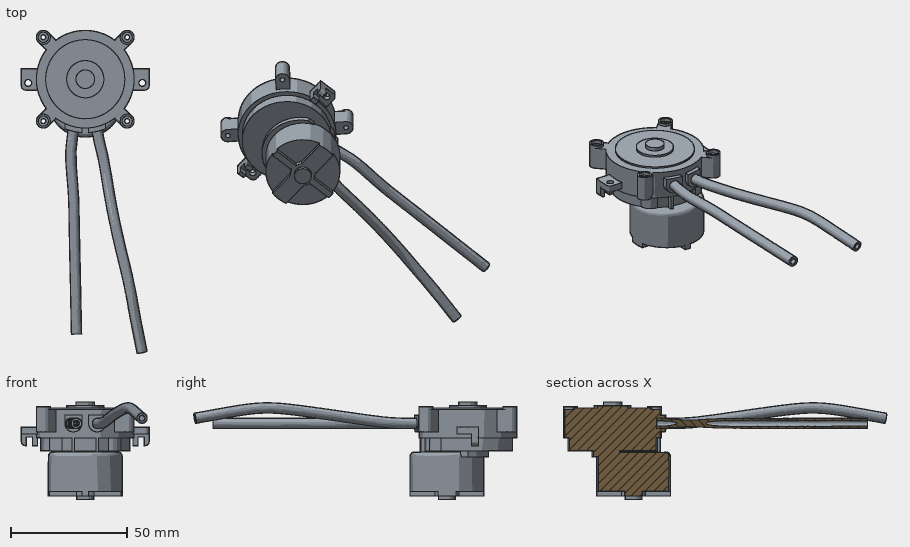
import cadquery as cq
import math


motor_bottom = 1.55
motor_shell_bottom = 3.6
flange_bottom = 18.4
motor_top = 20.5
collar_bottom = 20.95
housing_bottom = 26.55
post_bottom = 29.1
tube_level = 32.8
housing_top = 38.8
cover_top = 39.5
post_top = 40.0
hub_top = 40.4
button_top = 42.0

housing_diameter = 42.0
cover_diameter = 34.0
hub_diameter = 16.0
button_diameter = 8.0
collar_diameter = 38.4
lobe_radius = 5.0
lobe_reach = 20.4
lobe_angle = 48.0
rib_thickness = 1.0

post_offset = 18.0
post_diameter = 6.0
post_bore_diameter = 4.4
post_bore_depth = 1.5
post_hole_diameter = 2.0

port_offset = 5.1
port_diameter = 7.35
port_top = 36.3
port_face_radius = 23.0

lug_end = 27.5
lug_root = 20.0
lug_front = -4.75
lug_back = 4.5
lug_thickness = 3.0
lug_top = 31.2
lug_corner_radius = 2.0
lug_hole_diameter = 2.85
lug_hole_x = 24.5
lug_hole_y = -1.6
leg_inner_side = 20.5
leg_bottom = 23.15
leg_slot_width = 2.5
leg_slot_x = 24.0
leg_slot_top = 26.9

motor_y = -9.0
motor_diameter = 31.8
motor_rounding = 1.9
bearing_diameter = 7.35
end_hub_diameter = 10.6
wide_arm_width = 7.6
narrow_arm_width = 2.8
flange_radius = 16.5
flange_y = -7.6
flange_half_width = 14.6
flange_front = -3.1

tube_diameter = 4.5
tube_bore_diameter = 2.5
tube_start_y = -19.0


def cylinder(diameter, bottom, top, x=0, y=0):
    """Upright cylinder between two levels."""
    return cq.Workplane("XY", origin=(x, y, bottom)).circle(diameter / 2).extrude(top - bottom)


def block(x_range, y_range, z_range):
    """Box given by its limits along each axis."""
    size = [high - low for low, high in (x_range, y_range, z_range)]
    corner = (x_range[0], y_range[0], z_range[0])
    return cq.Workplane("XY").box(*size, centered=False).translate(corner)


def housing():
    """Round housing with its stepped cover and centre button."""
    body = cylinder(housing_diameter, housing_bottom, housing_top)
    body = body.union(cylinder(cover_diameter, housing_bottom, cover_top))
    body = body.union(cylinder(hub_diameter, housing_bottom, hub_top))
    return body.union(cylinder(button_diameter, housing_bottom, button_top))


def collar():
    """Ring under the housing, with two front lobes and two ribs that stand on the motor."""
    body = cylinder(collar_diameter, collar_bottom, housing_bottom)
    lobe_distance = lobe_reach - lobe_radius
    lobe_x = lobe_distance * math.cos(math.radians(lobe_angle))
    lobe_y = -lobe_distance * math.sin(math.radians(lobe_angle))
    rib_envelope = cylinder(housing_diameter, motor_top, housing_bottom)
    for side in (-1, 1):
        lobe = cylinder(2 * lobe_radius, collar_bottom, housing_bottom, side * lobe_x, lobe_y)
        rib_middle = side * port_offset
        rib = block(
            (rib_middle - rib_thickness / 2, rib_middle + rib_thickness / 2),
            (-housing_diameter / 2, 0),
            (motor_top, housing_bottom),
        )
        body = body.union(lobe).union(rib.intersect(rib_envelope))
    return body


def screw_post(angle):
    """Post on a radial arm at the given angle around the pump axis."""
    reach = post_offset * math.sqrt(2)
    arm = block((0, reach), (-post_diameter / 2, post_diameter / 2), (post_bottom, housing_top))
    body = arm.union(cylinder(post_diameter, post_bottom, post_top, reach))
    body = body.cut(cylinder(post_hole_diameter, post_bottom, post_top, reach))
    body = body.cut(cylinder(post_bore_diameter, post_top - post_bore_depth, post_top, reach))
    return body.rotate((0, 0, 0), (0, 0, 1), angle)


def tube_port(side):
    """U-shaped pad around a tube, with a face concentric with the housing."""
    radius = port_diameter / 2
    pad = (
        cq.Workplane("XZ", origin=(side * port_offset, 0, tube_level))
        .moveTo(-radius, 0)
        .threePointArc((0, -radius), (radius, 0))
        .lineTo(radius, port_top - tube_level)
        .lineTo(-radius, port_top - tube_level)
        .close()
        .extrude(port_face_radius)
    )
    return pad.intersect(cylinder(2 * port_face_radius, post_bottom, port_top))


def mounting_lug():
    """L-shaped lug on the +X side: a drilled plate with a slotted leg."""
    plate_bottom = lug_top - lug_thickness
    plate = block((lug_root, lug_end), (lug_front, lug_back), (plate_bottom, lug_top))
    plate = plate.edges("|Z and >X and <Y").fillet(lug_corner_radius)
    plate = plate.cut(cylinder(lug_hole_diameter, plate_bottom, lug_top, lug_hole_x, lug_hole_y))
    leg = block(
        (leg_inner_side, lug_end),
        (lug_back - lug_thickness, lug_back),
        (leg_bottom, plate_bottom),
    )
    leg = leg.edges("|Y and >X and <Z").fillet(lug_corner_radius)
    slot = block(
        (leg_slot_x - leg_slot_width / 2, leg_slot_x + leg_slot_width / 2),
        (lug_back - lug_thickness, lug_back),
        (leg_bottom, leg_slot_top),
    )
    return plate.union(leg.cut(slot))


def motor():
    """Gear motor with a rounded top, a cross-shaped end and a bearing boss."""
    shell = cylinder(motor_diameter, motor_shell_bottom, motor_top, 0, motor_y)
    shell = shell.faces(">Z").edges().fillet(motor_rounding)

    radius = motor_diameter / 2
    end_levels = (motor_bottom, motor_shell_bottom)
    wide_arms = block(
        (-radius, radius),
        (motor_y - wide_arm_width / 2, motor_y + wide_arm_width / 2),
        end_levels,
    )
    narrow_arms = block(
        (-narrow_arm_width / 2, narrow_arm_width / 2),
        (motor_y - radius, motor_y + radius),
        end_levels,
    )
    end_disc = cylinder(motor_diameter, motor_bottom, motor_shell_bottom, 0, motor_y)
    cross = wide_arms.union(narrow_arms).intersect(end_disc)
    end_hub = cylinder(end_hub_diameter, motor_bottom, motor_shell_bottom, 0, motor_y)
    bearing = cylinder(bearing_diameter, 0, motor_shell_bottom, 0, motor_y)
    return shell.union(cross).union(end_hub).union(bearing)


def motor_flange():
    """Flange behind the motor top: a disc with flat sides and a flat front."""
    disc = cylinder(2 * flange_radius, flange_bottom, collar_bottom, 0, flange_y)
    limits = block(
        (-flange_half_width, flange_half_width),
        (flange_front, flange_y + flange_radius),
        (flange_bottom, collar_bottom),
    )
    return disc.intersect(limits)


def tube_rod(diameter, path_points):
    """Solid round rod that leaves its port along -Y and follows a smooth path."""
    x, y, z = path_points[0]
    points = [cq.Vector(*point) for point in path_points]
    path_edge = cq.Edge.makeSpline(points, tangents=[cq.Vector(0, -1, 0), points[-1] - points[-2]])
    path = cq.Workplane("XY").newObject([cq.Wire.assembleEdges([path_edge])])
    return cq.Workplane("XZ", origin=(x, y, z)).circle(diameter / 2).sweep(path)


straight_path = [
    (-port_offset, tube_start_y, tube_level),
    (-6.1, -30.0, tube_level),
    (-5.3, -46.0, tube_level),
    (-4.7, -63.5, tube_level),
    (-4.35, -81.0, tube_level),
    (-3.75, -109.5, tube_level),
]
arched_path = [
    (port_offset, tube_start_y, tube_level),
    (7.3, -32.0, 33.0),
    (9.8, -46.0, 34.6),
    (15.5, -74.0, 38.5),
    (18.8, -88.0, 39.4),
    (21.4, -102.0, 37.7),
    (24.4, -117.16, 35.0),
]
tube_paths = [straight_path, arched_path]

pump = housing().union(collar()).union(motor()).union(motor_flange())
for quarter in range(4):
    pump = pump.union(screw_post(45 + 90 * quarter))
for port_side in (-1, 1):
    pump = pump.union(tube_port(port_side))
right_lug = mounting_lug()
pump = pump.union(right_lug).union(right_lug.mirror("YZ"))

tubes = []
for tube_path in tube_paths:
    tube_outside = tube_rod(tube_diameter, tube_path)
    pump = pump.cut(tube_outside)
    tubes.append(tube_outside.cut(tube_rod(tube_bore_diameter, tube_path)).val())

result = cq.Compound.makeCompound([pump.val(), *tubes])